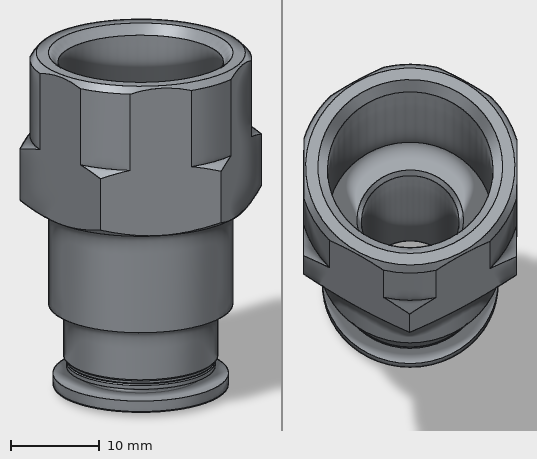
import cadquery as cq
import math

total_height = 40.1
hex_across_flats = 24.0
hex_corner_radius = hex_across_flats / math.sqrt(3)
hex_bottom = 22.25
hex_bottom_radius = 11.83
hex_chamfer_slope = math.tan(math.radians(30))
hex_bottom_chamfer = (hex_corner_radius - hex_bottom_radius) * hex_chamfer_slope

collar_radius = 25.02 / 2
collar_bottom = 30.3
shoulder_drop = (hex_corner_radius - collar_radius) * hex_chamfer_slope
rim_radius = 23.58 / 2
rim_chamfer_height = 0.72

body_radius = 20.8 / 2
body_bottom = 10.3
sleeve_radius = 17.4 / 2
sleeve_bottom = 4.15

lip_radius = 16.8 / 2
lip_top = 3.9
lip_bottom = 2.9
groove_depth = 0.12
groove_width = 0.3
groove_center = 3.5

neck_radius = 13.4 / 2
neck_fillet = 0.32
flange_radius = 19.8 / 2
flange_top = 2.0
flange_edge = 0.75
flange_bevel_height = 0.12
flange_bevel_width = 0.05
flange_bottom_radius = 12.45 / 2

socket_radius = 18.65 / 2
socket_mouth_radius = 20.8 / 2
socket_mouth_depth = socket_mouth_radius - socket_radius
socket_floor = hex_bottom
bore_radius = 11.0 / 2
bore_mouth_radius = 12.0 / 2
bore_mouth_depth = bore_mouth_radius - bore_radius


def revolve_profile(outline):
    """Revolve a closed (radius, height) wire in the XZ plane about Z."""
    return outline.close().revolve(360, (0, 0, 0), (0, 1, 0))


def make_head():
    hexagon = (
        cq.Workplane("XY", origin=(0, 0, hex_bottom))
        .polygon(6, 2 * hex_corner_radius)
        .extrude(total_height - hex_bottom)
    )
    turned_envelope = revolve_profile(
        cq.Workplane("XZ").polyline([
            (0, hex_bottom),
            (hex_bottom_radius, hex_bottom),
            (hex_corner_radius, hex_bottom + hex_bottom_chamfer),
            (hex_corner_radius, collar_bottom - shoulder_drop),
            (collar_radius, collar_bottom),
            (collar_radius, total_height - rim_chamfer_height),
            (rim_radius, total_height),
            (0, total_height),
        ])
    )
    return hexagon.intersect(turned_envelope)


def make_body():
    outline = cq.Workplane("XZ").polyline([
        (0, hex_bottom),
        (body_radius, hex_bottom),
        (body_radius, body_bottom),
        (sleeve_radius, body_bottom),
        (sleeve_radius, sleeve_bottom),
        (lip_radius, lip_top),
        (lip_radius, groove_center + groove_width / 2),
        (lip_radius - groove_depth, groove_center),
        (lip_radius, groove_center - groove_width / 2),
    ])
    fillet_offset = neck_fillet * (1 - math.sqrt(0.5))
    outline = (
        outline.lineTo(lip_radius, lip_bottom)
        .lineTo(neck_radius, lip_bottom)
        .lineTo(neck_radius, flange_top + neck_fillet)
        .threePointArc(
            (neck_radius + fillet_offset, flange_top + fillet_offset),
            (neck_radius + neck_fillet, flange_top),
        )
        .lineTo(flange_radius, flange_top)
        .lineTo(flange_radius, flange_edge)
        .lineTo(flange_radius - flange_bevel_width, flange_edge - flange_bevel_height)
        .lineTo(flange_bottom_radius, 0)
        .lineTo(0, 0)
    )
    return revolve_profile(outline)


def make_passage():
    return revolve_profile(
        cq.Workplane("XZ").polyline([
            (0, 0),
            (bore_radius, 0),
            (bore_radius, socket_floor - bore_mouth_depth),
            (bore_mouth_radius, socket_floor),
            (socket_radius, socket_floor),
            (socket_radius, total_height - socket_mouth_depth),
            (socket_mouth_radius, total_height),
            (0, total_height),
        ])
    )


result = make_head().union(make_body()).cut(make_passage())